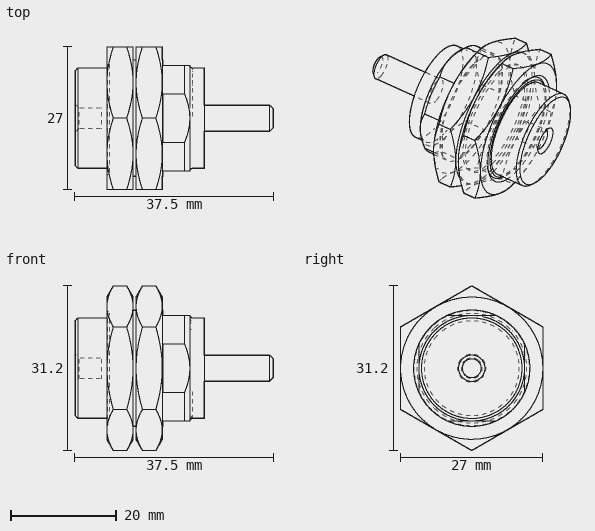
import cadquery as cq
import math

TOTAL_LENGTH = 37.5
HOUSING_LENGTH = 24.45

CORE_RADIUS = 19.0 / 2
CORE_CHAMFER = 0.52

THREAD_RADIUS = 22.0 / 2
THREAD_RUNOUT = 0.15

NUT_WIDTH = 27.0
NUT_THICKNESS = 5.0
NUT_STARTS = (6.0, 11.5)
NUT_FACE_RADIUS = 13.45
NUT_CHAMFER_ANGLE = 30.0

GROOVE_OUTER_RADIUS = 10.9
GROOVE_BOTTOM_RADIUS = 10.4
GROOVE_INNER_RADIUS = 9.98

WRENCH_WIDTH = 20.0
WRENCH_START = NUT_STARTS[-1] + NUT_THICKNESS + THREAD_RUNOUT
WRENCH_END = 21.7
WRENCH_CHAMFER = THREAD_RADIUS - WRENCH_WIDTH / 2
WRENCH_FILLET = WRENCH_WIDTH / 2 - CORE_RADIUS

PORT_RADIUS = 3.9 / 2
PORT_MOUTH_RADIUS = 2.65
PORT_DEPTH = 5.0

ROD_RADIUS = 5.0 / 2
ROD_CHAMFER = 0.7


def revolve_about_x(profile):
    """Turn a closed (x, radius) profile around the X axis."""
    return profile.close().revolve(360, (0, 0, 0), (1, 0, 0))


def cylinder(start, end, radius):
    return cq.Workplane("YZ", origin=(start, 0, 0)).circle(radius).extrude(end - start)


def make_nut(start):
    """Hexagon with corners at +Z and -Z, both faces chamfered by cones."""
    end = start + NUT_THICKNESS
    corner_radius = NUT_WIDTH / math.sqrt(3)
    envelope_radius = corner_radius + 0.38
    chamfer_length = (envelope_radius - NUT_FACE_RADIUS) * math.tan(math.radians(NUT_CHAMFER_ANGLE))
    hexagon = (
        cq.Workplane("YZ", origin=(start, 0, 0))
        .transformed(rotate=(0, 0, 90))
        .polygon(6, 2 * corner_radius)
        .extrude(NUT_THICKNESS)
    )
    envelope = revolve_about_x(
        cq.Workplane("XY")
        .moveTo(start, 0)
        .lineTo(start, NUT_FACE_RADIUS)
        .lineTo(start + chamfer_length, envelope_radius)
        .lineTo(end - chamfer_length, envelope_radius)
        .lineTo(end, NUT_FACE_RADIUS)
        .lineTo(end, 0)
    )
    return hexagon.intersect(envelope)


def make_face_groove():
    """V-groove with 45 degree sides and a narrow flat land beside the core."""
    face = NUT_STARTS[0]
    bottom = face + GROOVE_OUTER_RADIUS - GROOVE_BOTTOM_RADIUS
    land = bottom - (GROOVE_BOTTOM_RADIUS - GROOVE_INNER_RADIUS)
    return revolve_about_x(
        cq.Workplane("XY")
        .moveTo(face, CORE_RADIUS)
        .lineTo(face, GROOVE_OUTER_RADIUS)
        .lineTo(bottom, GROOVE_BOTTOM_RADIUS)
        .lineTo(land, GROOVE_INNER_RADIUS)
        .lineTo(land, CORE_RADIUS)
    )


def make_wrench_section():
    """Square bar with round corners and a conical end."""
    square = (
        cq.Workplane("YZ", origin=(WRENCH_START, 0, 0))
        .rect(WRENCH_WIDTH, WRENCH_WIDTH)
        .extrude(WRENCH_END - WRENCH_START)
    )
    corners = cylinder(WRENCH_START, WRENCH_END, THREAD_RADIUS).faces(">X").chamfer(WRENCH_CHAMFER)
    return square.intersect(corners)


def make_shoulder_fillet():
    """Concave ring between the wrench section and the core."""
    fillet_end = WRENCH_END + WRENCH_FILLET
    top_radius = CORE_RADIUS + WRENCH_FILLET
    arc_offset = WRENCH_FILLET * math.sqrt(0.5)
    return revolve_about_x(
        cq.Workplane("XY")
        .moveTo(WRENCH_END, 0)
        .lineTo(WRENCH_END, top_radius)
        .threePointArc((fillet_end - arc_offset, top_radius - arc_offset), (fillet_end, CORE_RADIUS))
        .lineTo(fillet_end, 0)
    )


def make_port():
    """Blind hole with a 45 degree countersink."""
    return revolve_about_x(
        cq.Workplane("XY")
        .moveTo(0, 0)
        .lineTo(0, PORT_MOUTH_RADIUS)
        .lineTo(PORT_MOUTH_RADIUS - PORT_RADIUS, PORT_RADIUS)
        .lineTo(PORT_DEPTH, PORT_RADIUS)
        .lineTo(PORT_DEPTH, 0)
    )


def make_housing():
    housing = cylinder(0, HOUSING_LENGTH, CORE_RADIUS).faces("<X").chamfer(CORE_CHAMFER)
    housing = housing.union(cylinder(NUT_STARTS[0], WRENCH_START, THREAD_RADIUS))
    for start in NUT_STARTS:
        housing = housing.union(make_nut(start))
    housing = housing.union(make_wrench_section()).union(make_shoulder_fillet())
    return housing.cut(make_face_groove()).cut(make_port())


def make_rod():
    """Rod standing on the right end face of the housing."""
    return cylinder(HOUSING_LENGTH, TOTAL_LENGTH, ROD_RADIUS).faces(">X").chamfer(ROD_CHAMFER)


housing = make_housing()
rod = make_rod()
result = cq.Compound.makeCompound([housing.solids().val(), rod.solids().val()])